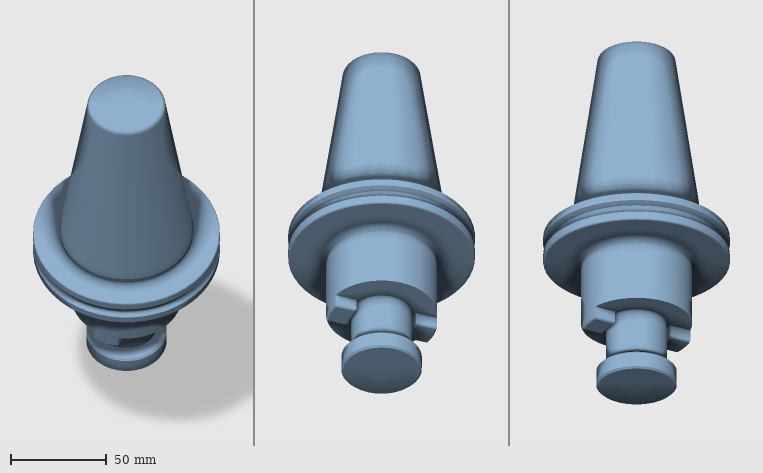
import cadquery as cq
import math


gauge_radius = 69.85 / 2
taper_length = 101.75
taper_ratio = 7 / 24
tip_radius = gauge_radius - taper_length * taper_ratio / 2
tip_fillet = 2.5

relief_radius = 34.6
relief_step_height = 0.7
relief_fillet = 0.8

flange_radius = 97.5 / 2
flange_top = -3.2
flange_bottom = -19.1
flange_fillet = 1.0
groove_center = -11.05
groove_mouth_width = 6.7
groove_floor_radius = 46.0
groove_wall_angle = 30
groove_drop = (flange_radius - groove_floor_radius) * math.tan(math.radians(groove_wall_angle))

body_radius = 29.0
body_bottom = -55.0
collar_radius = 28.8
collar_fillet = 3.0
collar_step_height = 1.3

pilot_radius = 16.0
pilot_bottom = -79.0
pilot_chamfer = 0.6
neck_radius = 8.0
head_radius = 21.0
head_top = -82.0
head_bottom = -92.0
head_chamfer = 1.0

tenon_width = 14.0
tenon_height = 7.0
tenon_inner = 16.5
tenon_chamfer = 0.7


def cylinder(radius, bottom, top):
    return cq.Workplane("XY").workplane(offset=bottom).circle(radius).extrude(top - bottom)


def revolve_about_z(profile):
    """Close an XZ profile and turn it fully around the part axis."""
    return profile.close().revolve(360, (0, 0), (0, 1))


def fillet_middle_offset(radius):
    """Distance from each wall of a square corner to the middle of its fillet."""
    return radius * (1 - math.cos(math.radians(45)))


def make_shank():
    fillet_middle = fillet_middle_offset(relief_fillet)
    profile = (
        cq.Workplane("XZ")
        .moveTo(0, taper_length)
        .lineTo(tip_radius, taper_length)
        .lineTo(gauge_radius, 0)
        .lineTo(relief_radius, -relief_step_height)
        .lineTo(relief_radius, flange_top + relief_fillet)
        .threePointArc(
            (relief_radius + fillet_middle, flange_top + fillet_middle),
            (relief_radius + relief_fillet, flange_top),
        )
        .lineTo(0, flange_top)
    )
    return revolve_about_z(profile).faces(">Z").edges().fillet(tip_fillet)


def make_flange():
    blank = cylinder(flange_radius, flange_bottom, flange_top)
    blank = blank.faces(">Z or <Z").edges().fillet(flange_fillet)
    mouth_half = groove_mouth_width / 2
    floor_half = mouth_half - groove_drop
    groove_corners = [
        (flange_radius, groove_center + mouth_half),
        (groove_floor_radius, groove_center + floor_half),
        (groove_floor_radius, groove_center - floor_half),
        (flange_radius, groove_center - mouth_half),
    ]
    groove_profile = cq.Workplane("XZ").polyline(groove_corners)
    return blank.cut(revolve_about_z(groove_profile))


def make_body():
    fillet_bottom = flange_bottom - collar_fillet
    fillet_middle = fillet_middle_offset(collar_fillet)
    profile = (
        cq.Workplane("XZ")
        .moveTo(0, flange_bottom)
        .lineTo(collar_radius + collar_fillet, flange_bottom)
        .threePointArc(
            (collar_radius + fillet_middle, flange_bottom - fillet_middle),
            (collar_radius, fillet_bottom),
        )
        .lineTo(body_radius, fillet_bottom - collar_step_height)
        .lineTo(body_radius, body_bottom)
        .lineTo(0, body_bottom)
    )
    return revolve_about_z(profile)


def make_pilot():
    pilot = cylinder(pilot_radius, pilot_bottom, body_bottom)
    return pilot.faces("<Z").edges().chamfer(pilot_chamfer)


def make_screw():
    head = cylinder(head_radius, head_bottom, head_top)
    head = head.faces(">Z or <Z").edges().chamfer(head_chamfer)
    return head.union(cylinder(neck_radius, head_top, pilot_bottom))


def make_tenon(side):
    depth = body_radius - tenon_inner
    block = (
        cq.Workplane("XY")
        .workplane(offset=body_bottom - tenon_height)
        .center(0, side * (tenon_inner + depth / 2))
        .rect(tenon_width, depth)
        .extrude(tenon_height)
    )
    tenon = block.intersect(cylinder(body_radius, body_bottom - tenon_height, body_bottom))
    return tenon.faces("<Z").edges().chamfer(tenon_chamfer)


result = (
    make_shank()
    .union(make_flange())
    .union(make_body())
    .union(make_pilot())
    .union(make_screw())
    .union(make_tenon(-1))
    .union(make_tenon(1))
)